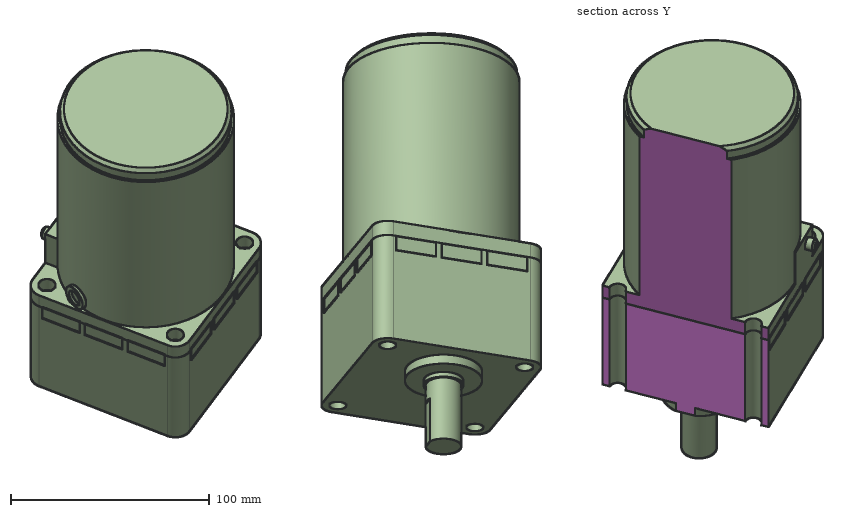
import cadquery as cq
import math

FRAME_SIDE = 90.0
HOLE_SPACING = 73.5
HOLE_DIAMETER = 8.5
CORNER_RADIUS = (FRAME_SIDE - HOLE_SPACING) / 2

OVERALL_LENGTH = 220.0
SHAFT_END = 42.0
GEARHEAD_HEIGHT = 57.9
FLANGE_THICKNESS = 8.0
FLANGE_TOP = GEARHEAD_HEIGHT + FLANGE_THICKNESS
MOTOR_TOP = OVERALL_LENGTH - SHAFT_END

RECESS_COUNT = 3
RECESS_WIDTH = 21.3
RECESS_PITCH = 24.5
RECESS_HEIGHT = 8.0
RECESS_DEPTH = 0.5

SHAFT_OFFSET = 18.0
BOSS_DIAMETER = 39.0
BOSS_HEIGHT = 5.0
COLLAR_DIAMETER = 20.0
COLLAR_END = 7.7
SHAFT_DIAMETER = 18.0
FLAT_START = 18.0
FLAT_DEPTH = 0.7

MOTOR_DIAMETER = 89.0
CAP_DIAMETER = 86.5
CAP_HEIGHT = 7.0
CAP_CHAMFER = 2.0

BLOCK_WIDTH = 23.3
BLOCK_HEIGHT = 20.7
BLOCK_DEPTH = 22.0

SCREW_DIAMETER = 6.5
SCREW_PROJECTION = 4.8
SCREW_CHAMFER = 1.0
SCREW_Y = -16.5
SCREW_HEIGHT = 13.9

GLAND_ANGLE = 22.5
GLAND_DIAMETER = 13.2
GLAND_REACH = 46.5
GLAND_HEIGHT = 5.5
GLAND_ROOT = 11.0
GLAND_BORE_DIAMETER = 8.4
GLAND_BORE_DEPTH = 1.8


def frame(bottom, height):
    """Square plate with rounded corners and four through holes."""
    return (
        cq.Workplane("XY", origin=(0, 0, bottom))
        .rect(FRAME_SIDE, FRAME_SIDE)
        .extrude(height)
        .edges("|Z")
        .fillet(CORNER_RADIUS)
        .faces(">Z")
        .workplane()
        .rect(HOLE_SPACING, HOLE_SPACING, forConstruction=True)
        .vertices()
        .hole(HOLE_DIAMETER)
    )


def recess_row():
    """Cutters for the recesses on the -Y side of the gearhead."""
    return (
        cq.Workplane("XZ", origin=(0, -FRAME_SIDE / 2, GEARHEAD_HEIGHT - RECESS_HEIGHT / 2))
        .rarray(RECESS_PITCH, 2.2, RECESS_COUNT, 1)
        .rect(RECESS_WIDTH, RECESS_HEIGHT)
        .extrude(-RECESS_DEPTH)
    )


def downward_cylinder(diameter, length):
    """Cylinder on the shaft axis, running down from the mounting face."""
    return (
        cq.Workplane("XY", origin=(0, SHAFT_OFFSET, 0))
        .circle(diameter / 2)
        .extrude(-length)
    )


def output_shaft():
    """Round shaft with a flat on its +X side toward the free end."""
    flat_x = SHAFT_DIAMETER / 2 - FLAT_DEPTH
    flat_cutter = cq.Workplane("XY").box(
        SHAFT_DIAMETER, SHAFT_DIAMETER, SHAFT_END - FLAT_START, centered=(False, True, False)
    )
    shaft = downward_cylinder(SHAFT_DIAMETER, SHAFT_END)
    return shaft.cut(flat_cutter.translate((flat_x, SHAFT_OFFSET, -SHAFT_END)))


def make_gearhead():
    """Gearhead housing with its boss, collar and output shaft."""
    body = frame(0, GEARHEAD_HEIGHT)
    for side in range(4):
        body = body.cut(recess_row().rotate((0, 0, 0), (0, 0, 1), side * 90))
    body = body.union(downward_cylinder(BOSS_DIAMETER, BOSS_HEIGHT))
    body = body.union(downward_cylinder(COLLAR_DIAMETER, COLLAR_END))
    return body.union(output_shaft())


def motor_shell():
    """Motor cylinder with a slightly smaller, chamfered end cap."""
    shell_height = MOTOR_TOP - CAP_HEIGHT - FLANGE_TOP
    cap = (
        cq.Workplane("XY", origin=(0, 0, MOTOR_TOP - CAP_HEIGHT))
        .circle(CAP_DIAMETER / 2)
        .extrude(CAP_HEIGHT)
        .faces(">Z")
        .chamfer(CAP_CHAMFER)
    )
    return (
        cq.Workplane("XY", origin=(0, 0, FLANGE_TOP))
        .circle(MOTOR_DIAMETER / 2)
        .extrude(shell_height)
        .union(cap)
    )


def terminal_block():
    """Block on the -X side that reaches into the shell, with its screw."""
    block = (
        cq.Workplane("XY")
        .box(BLOCK_DEPTH, BLOCK_WIDTH, BLOCK_HEIGHT, centered=False)
        .translate((-FRAME_SIDE / 2, -BLOCK_WIDTH, FLANGE_TOP))
    )
    screw = (
        cq.Workplane("YZ", origin=(-FRAME_SIDE / 2, SCREW_Y, FLANGE_TOP + SCREW_HEIGHT))
        .circle(SCREW_DIAMETER / 2)
        .extrude(-SCREW_PROJECTION)
        .faces("<X")
        .chamfer(SCREW_CHAMFER)
    )
    return block.union(screw)


def gland_disc(diameter, depth):
    """Disc on the gland axis, running inward from the outer face of the gland."""
    angle = math.radians(GLAND_ANGLE)
    outward = cq.Vector(-math.sin(angle), -math.cos(angle), 0)
    centre = outward * GLAND_REACH + cq.Vector(0, 0, FLANGE_TOP + GLAND_HEIGHT)
    outer_face = cq.Plane(origin=centre, xDir=(0, 0, 1), normal=outward)
    return cq.Workplane(outer_face).circle(diameter / 2).extrude(-depth)


def make_motor():
    """Motor with its flange, shell, terminal block and cable gland."""
    body = frame(GEARHEAD_HEIGHT, FLANGE_THICKNESS)
    for feature in (motor_shell(), terminal_block(), gland_disc(GLAND_DIAMETER, GLAND_ROOT)):
        body = body.union(feature)
    return body.cut(gland_disc(GLAND_BORE_DIAMETER, GLAND_BORE_DEPTH))


gearhead = make_gearhead()
motor = make_motor()

result = cq.Compound.makeCompound([gearhead.solids().val(), motor.solids().val()])